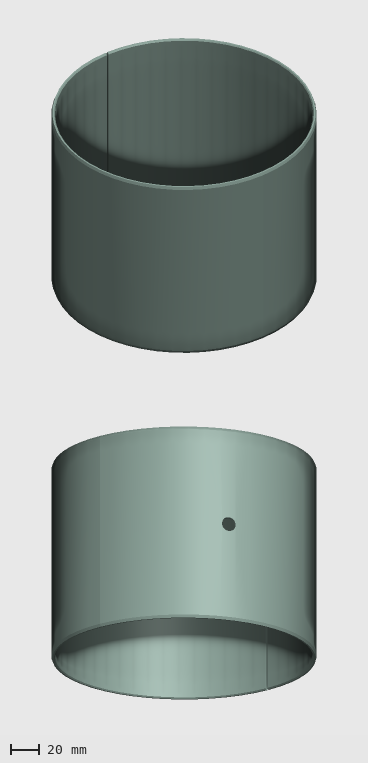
import cadquery as cq

outer_diameter = 185.0
height = 140.0
wall = 2.5
outer_radius = outer_diameter / 2
inner_radius = outer_radius - wall

bevel_depth = 0.7
outer_bevel_height = 2.0
inner_bevel_height = 1.0

slit_width = 1.5

hole_diameter = 10.0
hole_angle = 59.0


def make_sleeve():
    """Revolve the bevelled wall section around the Z axis, centred on the origin."""
    top = height / 2
    outer_shoulder = top - outer_bevel_height
    inner_shoulder = top - inner_bevel_height
    section = [
        (inner_radius, -inner_shoulder),
        (inner_radius + bevel_depth, -top),
        (outer_radius - bevel_depth, -top),
        (outer_radius, -outer_shoulder),
        (outer_radius, outer_shoulder),
        (outer_radius - bevel_depth, top),
        (inner_radius + bevel_depth, top),
        (inner_radius, inner_shoulder),
    ]
    return cq.Workplane("XZ").polyline(section).close().revolve(360, (0, 0), (0, 1))


def make_slit():
    """Full-height cutter that opens the ring at -X."""
    cutter = cq.Workplane("XY").box(outer_radius, slit_width, height, centered=(True, False, True))
    return cutter.translate((-outer_radius, 0, 0))


def make_hole():
    """Radial cutter that passes through one side of the wall."""
    cutter = cq.Workplane("YZ").circle(hole_diameter / 2).extrude(outer_diameter)
    return cutter.rotate((0, 0, 0), (0, 0, 1), hole_angle)


result = make_sleeve().cut(make_slit()).cut(make_hole())